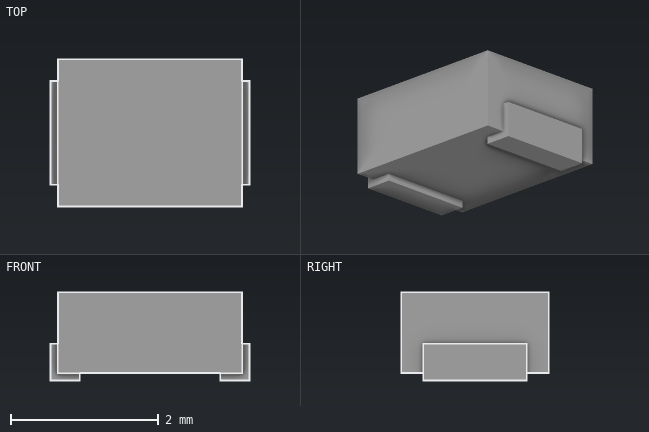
import cadquery as cq

length = 2.7
width = 2.0
height = 1.2

terminal_thickness = 0.1
terminal_width = 1.41
terminal_height = 0.5
foot_length = 0.4

body_length = length - 2 * terminal_thickness
body_height = height - terminal_thickness


def make_body():
    """Plain block raised by the thickness of the feet."""
    return (
        cq.Workplane("XY")
        .workplane(offset=terminal_thickness)
        .box(body_length, width, body_height, centered=(True, True, False))
    )


def make_left_terminal():
    """L-shaped strip covering the -X end and folded under the body."""
    outer_x = -length / 2
    inner_x = outer_x + terminal_thickness
    foot_end_x = outer_x + foot_length
    return (
        cq.Workplane("XZ")
        .moveTo(outer_x, 0)
        .lineTo(foot_end_x, 0)
        .lineTo(foot_end_x, terminal_thickness)
        .lineTo(inner_x, terminal_thickness)
        .lineTo(inner_x, terminal_height)
        .lineTo(outer_x, terminal_height)
        .close()
        .extrude(terminal_width / 2, both=True)
    )


left_terminal = make_left_terminal()
right_terminal = left_terminal.mirror("YZ")
result = make_body().union(left_terminal).union(right_terminal)